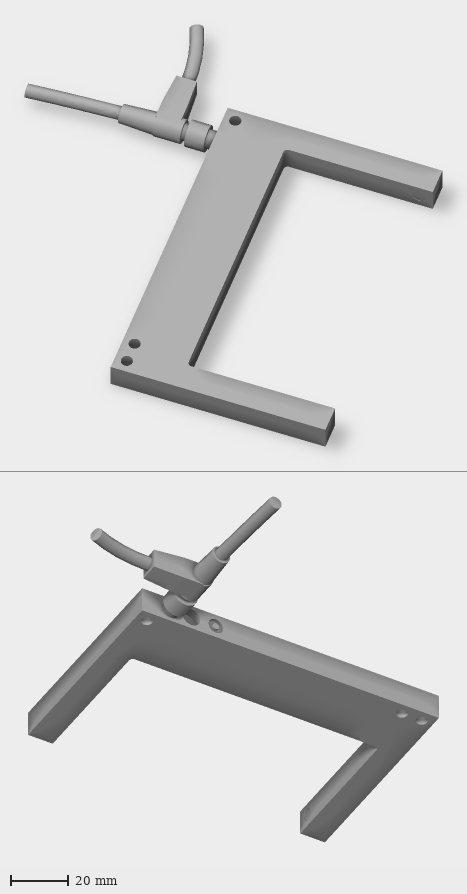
import cadquery as cq
import math

housing_length = 80.0
housing_width = 120.0
thickness = 10.0
arm_width = 10.0
spine_width = 25.0
inner_corner_radius = 1.5

mount_hole_diameter = 4.3
mount_hole_x = 4.5
mount_hole_edge_gap = 4.5
mount_hole_pitch = 8.0
mount_hole_ys = [
    mount_hole_edge_gap,
    mount_hole_edge_gap + mount_hole_pitch,
    housing_width - mount_hole_edge_gap,
]

window_diameter = 5.0
window_depth = 0.2
window_end_gap = 5.0
window_x = housing_length - window_end_gap

plug_edge_gap = 11.6
plug_y = housing_width - plug_edge_gap
stub_diameter = 7.0
nut_diameter = 10.0
neck_diameter = 6.5
barrel_diameter = 9.0
sleeve_large_diameter = 8.4
sleeve_small_diameter = 7.0
nut_front_x = -3.0
nut_rear_x = -10.3
barrel_front_x = -12.1
barrel_rear_x = -22.2
sleeve_end_x = -35.4

outlet_size = barrel_diameter
outlet_rear_x = -22.7
outlet_x = outlet_rear_x + outlet_size / 2
outlet_block_length = 7.7
boot_length = 11.8
boot_end_size = 7.7

post_diameter = 2.5
indicator_diameter = 7.0
indicator_depth = 3.7
indicator_post_height = 0.5
adjuster_diameter = 6.0
adjuster_depth = 1.0
adjuster_post_height = adjuster_depth
plug_to_indicator = 8.3
indicator_to_adjuster = 10.0
indicator_y = plug_y - plug_to_indicator
adjuster_y = indicator_y - indicator_to_adjuster

cable_diameter = 5.0
overall_length = 150.2
overall_width = 153.1
straight_cable_drop = 2.0
straight_cable_bow = 0.2
straight_cable_end_overhang = 0.2
bent_cable_radius = 60.0


def make_recess_with_post(y, diameter, depth, post_height):
    """Round recess in the back face (X = 0) that leaves a post on its floor."""
    recess = cq.Workplane("YZ").center(y, 0).circle(diameter / 2).extrude(depth)
    post = (
        cq.Workplane("YZ", origin=(depth - post_height, 0, 0))
        .center(y, 0)
        .circle(post_diameter / 2)
        .extrude(post_height)
    )
    return recess.cut(post)


def make_window(face_y, direction):
    """Tool for a shallow round recess in the inner side of an arm."""
    return cq.Workplane("XY").add(
        cq.Solid.makeCylinder(
            window_diameter / 2,
            window_depth,
            cq.Vector(window_x, face_y, 0),
            cq.Vector(0, direction, 0),
        )
    )


def make_housing():
    """U-shaped block with mounting holes, windows and back-face recesses."""
    opening_width = housing_width - 2 * arm_width
    body = cq.Workplane("XY").box(housing_length, housing_width, thickness, centered=(False, False, True))
    opening = (
        cq.Workplane("XY")
        .box(housing_length, opening_width, thickness, centered=(False, False, True))
        .edges("|Z and <X")
        .fillet(inner_corner_radius)
        .translate((spine_width, arm_width, 0))
    )
    mount_holes = (
        cq.Workplane("XY", origin=(0, 0, -thickness / 2))
        .pushPoints([(mount_hole_x, y) for y in mount_hole_ys])
        .circle(mount_hole_diameter / 2)
        .extrude(thickness)
    )
    body = body.cut(opening).cut(mount_holes)
    body = body.cut(make_window(arm_width, -1)).cut(make_window(housing_width - arm_width, 1))
    body = body.cut(
        make_recess_with_post(indicator_y, indicator_diameter, indicator_depth, indicator_post_height)
    )
    return body.cut(make_recess_with_post(adjuster_y, adjuster_diameter, adjuster_depth, adjuster_post_height))


def make_plug():
    """Stub, nut, neck, barrel and tapered sleeve turned about X, plus the side outlet."""
    turned = (
        cq.Workplane("XY", origin=(0, plug_y, 0))
        .moveTo(0, 0)
        .lineTo(0, stub_diameter / 2)
        .lineTo(nut_front_x, stub_diameter / 2)
        .lineTo(nut_front_x, nut_diameter / 2)
        .lineTo(nut_rear_x, nut_diameter / 2)
        .lineTo(nut_rear_x, neck_diameter / 2)
        .lineTo(barrel_front_x, neck_diameter / 2)
        .lineTo(barrel_front_x, barrel_diameter / 2)
        .lineTo(barrel_rear_x, barrel_diameter / 2)
        .lineTo(barrel_rear_x, sleeve_large_diameter / 2)
        .lineTo(sleeve_end_x, sleeve_small_diameter / 2)
        .lineTo(sleeve_end_x, 0)
        .close()
        .revolve(360, (0, 0, 0), (1, 0, 0))
    )
    block = cq.Workplane("XY", origin=(outlet_x, plug_y, 0)).box(
        outlet_size, outlet_block_length, outlet_size, centered=(True, False, True)
    )
    boot = (
        cq.Workplane("XZ", origin=(outlet_x, plug_y + outlet_block_length, 0))
        .rect(outlet_size, outlet_size)
        .workplane(offset=-boot_length)
        .rect(boot_end_size, boot_end_size)
        .loft(ruled=True)
    )
    return turned.union(block).union(boot)


def make_cable(start, middle, end, start_direction):
    """Round cable swept along the arc through three points."""
    path = cq.Workplane("XY").moveTo(*start).threePointArc(middle, end)
    section = cq.Plane(origin=(*start, 0), xDir=(0, 0, 1), normal=start_direction)
    return cq.Workplane(section).circle(cable_diameter / 2).sweep(path)


def make_straight_cable():
    """Cable leaving the sleeve toward -X and drifting slightly toward -Y."""
    end_x = housing_length - overall_length + straight_cable_end_overhang
    start = (sleeve_end_x, plug_y)
    middle = ((sleeve_end_x + end_x) / 2, plug_y - straight_cable_drop / 2 + straight_cable_bow)
    end = (end_x, plug_y - straight_cable_drop)
    return make_cable(start, middle, end, (-1, 0, 0))


def make_bent_cable():
    """Cable leaving the boot along +Y and curving toward -X up to the overall width."""
    start_y = plug_y + outlet_block_length + boot_length
    reach = overall_width - start_y
    rim_radius = bent_cable_radius + cable_diameter / 2
    angle = math.asin(reach / rim_radius)

    def arc_point(turn):
        return (
            outlet_x - bent_cable_radius * (1 - math.cos(turn)),
            start_y + bent_cable_radius * math.sin(turn),
        )

    return make_cable(arc_point(0), arc_point(angle / 2), arc_point(angle), (0, 1, 0))


housing = make_housing()
plug = make_plug()
straight_cable = make_straight_cable()
bent_cable = make_bent_cable()

result = cq.Compound.makeCompound([housing.val(), plug.val(), straight_cable.val(), bent_cable.val()])